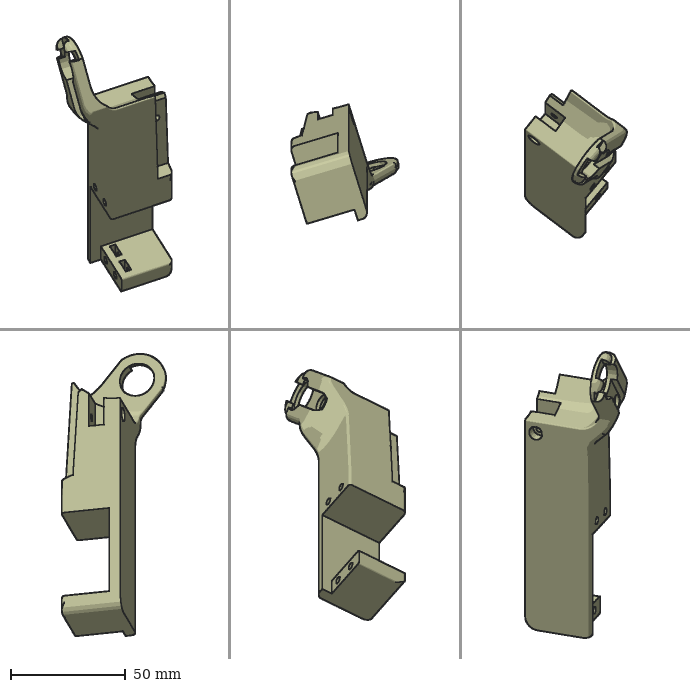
import cadquery as cq
import math

height = 137.4
width = 26.8
depth = 29.8
plate_offset = 10.0
wall = plate_offset / 2
edge_radius = 3.0
right_edge_radius = 1.1
back_rim_radius = 0.7
back_corner_radius = 5.9
back_right_radius = 2.0

ring_radius = 25.1 / 2
ring_x = 1.17
ring_z = height - ring_radius
bore_diameter = 15.4
arm_angle = math.radians(51)
arm_half_width = 12.1

shoulder_x = 23.5
taper_bottom_z = 59.1

saddle_radius = 24.3
saddle_blend = 9.9
bend_outer_radius = 37.4
bend_inner_radius = 19.6
bend_arc = 9.5

window_bottom = 8.4
window_top = 48.2
foot_front = wall
foot_corner = 1.1

screw_diameter = 3.2
screw_columns = (9.9, 19.9)
foot_screw_z = 4.3
body_screw_z = 52.6
screw_depth = 11.0
nut_length = 6.6
nut_thickness = 2.6
nut_y = 9.9

pivot_y = 24.9
pivot_z = 94.7
pivot_head_diameter = 6.0
pivot_head_depth = wall
slot_left = 7.4
slot_right = 14.2
slot_front = 18.7
slot_floor = pivot_z - (pivot_y - slot_front)

step_y = 22.5
step_z = 106.8
relief_top_x = 19.0
relief_bottom_x = 21.3
relief_floor = 66.0
relief_floor_drop = 2.0
relief_chamfer = 1.6

groove_width = 8.5
groove_end_distance = 22.5
pocket_distance = 21.6
pocket_diameter = 7.7
pocket_depth = 1.8
cross_slot_start = -7.4
cross_slot_end = -3.2
tip_recess_end = -5.5
tip_recess_width = 9.2
recess_depth = 3.0

plate_front = -plate_offset
plate_back = plate_front + wall
recess_floor = plate_front + recess_depth
margin = 6.9
tolerance = 0.01


def block(x0, x1, y0, y1, z0, z1):
    return cq.Workplane("XY").box(x1 - x0, y1 - y0, z1 - z0, centered=False).translate((x0, y0, z0))


def bar_y(outline, y0, y1):
    """Extrude an X-Z sketch from y0 to y1."""
    return outline.extrude(y0 - y1).translate((0, y0, 0))


def cylinder_y(x, z, diameter, y0, y1):
    return bar_y(cq.Workplane("XZ").center(x, z).circle(diameter / 2), y0, y1)


def cylinder_x(y, z, diameter, x0, x1):
    return cq.Workplane("YZ").center(y, z).circle(diameter / 2).extrude(x1 - x0).translate((x0, 0, 0))


def turn_about_ring(profile):
    """Revolve an X-Y profile, drawn with radius along X, around the ring axis."""
    return profile.revolve(360, (0, 0, 0), (0, 1, 0)).translate((ring_x, 0, ring_z))


def on_arm(distance, offset=0.0):
    """X-Z point at a distance along the arm and an offset to its upper right."""
    x = ring_x + distance * math.cos(arm_angle) + offset * math.sin(arm_angle)
    z = ring_z - distance * math.sin(arm_angle) + offset * math.cos(arm_angle)
    return x, z


def arm_edge_z(x, side):
    """Height of the arm's straight edge at x; side is +1 upper right, -1 lower left."""
    start_x, start_z = on_arm(0, side * arm_half_width)
    return start_z - (x - start_x) * math.tan(arm_angle)


def envelope():
    arm_start = -math.sqrt(ring_radius**2 - arm_half_width**2)
    outline = (
        cq.Workplane("XZ")
        .moveTo(0, 0)
        .lineTo(0, arm_edge_z(0, -1))
        .lineTo(*on_arm(arm_start, -arm_half_width))
        .threePointArc(on_arm(-ring_radius), on_arm(arm_start, arm_half_width))
        .lineTo(shoulder_x, arm_edge_z(shoulder_x, 1))
        .lineTo(width, taper_bottom_z)
        .lineTo(width, 0)
        .close()
    )
    return bar_y(outline, plate_front, depth)


def saddle():
    """Space behind the ring plate and above the body."""
    profile = (
        cq.Workplane("XY")
        .moveTo(0, plate_back)
        .lineTo(saddle_radius - saddle_blend, plate_back)
        .radiusArc((saddle_radius, plate_back + saddle_blend), -saddle_blend)
        .lineTo(saddle_radius, depth + margin)
        .lineTo(0, depth + margin)
        .close()
    )
    return turn_about_ring(profile)


def front_bend():
    """Space in front of the body, with two arcs and a 45 degree flank up to the plate."""
    rise = bend_arc * math.sin(math.pi / 4)
    run = bend_arc - rise
    profile = (
        cq.Workplane("XY")
        .moveTo(bend_inner_radius, plate_front - margin)
        .lineTo(bend_inner_radius, plate_front)
        .radiusArc((bend_inner_radius + rise, plate_front + run), -bend_arc)
        .lineTo(bend_outer_radius - rise, -run)
        .radiusArc((bend_outer_radius, 0), bend_arc)
        .lineTo(2 * height, 0)
        .lineTo(2 * height, plate_front - margin)
        .close()
    )
    return turn_about_ring(profile)


def edges_where(shape, test):
    """Edges whose bounding box passes the test."""
    return shape.newObject([edge for edge in shape.edges().vals() if test(edge.BoundingBox())])


def is_left_front_edge(box):
    return box.xmax < tolerance and box.xmin > -tolerance and box.ymax < tolerance


def is_plate_rim(box):
    """Outline of the plate front, without the arc where the bend begins."""
    in_plane = box.ymax < plate_front + tolerance
    starts_bend = box.xmin > -tolerance and box.xmax > ring_radius and box.zmin < ring_z - bore_diameter
    return in_plane and not starts_bend


def is_right_front_edge(box):
    return box.xmin > shoulder_x and box.ymax < tolerance and box.ymin > plate_front + tolerance


def is_bottom_back_edge(box):
    return box.zmax < tolerance and box.ymin > depth - tolerance


def is_back_rim(box):
    """Plate outline at the back and left edge of the saddle; the fillet runs on to the right edge."""
    on_plate = box.ymin > plate_back - tolerance and box.ymax < plate_back + tolerance
    starts_blend = box.xmin < 0 and box.xmax > ring_radius
    on_left_face = box.xmax < tolerance and box.ymin > plate_back and box.ymax > plate_back + saddle_blend - tolerance
    return (on_plate and not starts_blend) or (on_left_face and box.zmin > pivot_z and box.zmax < ring_z)


def shell():
    """Body, bend and ring plate with their rounded edges."""
    shape = envelope().cut(saddle()).cut(front_bend())
    shape = edges_where(shape, lambda box: is_left_front_edge(box) or is_plate_rim(box)).fillet(edge_radius)
    shape = edges_where(shape, is_right_front_edge).fillet(right_edge_radius)
    shape = edges_where(shape, is_back_rim).fillet(back_rim_radius)
    return edges_where(shape, is_bottom_back_edge).fillet(back_corner_radius)


def window():
    """Opening right of the left wall, with the foot set back below it."""
    opening = block(wall, width + margin, -margin, depth + margin, window_bottom, window_top)
    setback = block(wall, width + margin, -margin, foot_front, -margin, window_bottom)
    return opening.union(setback)


def foot_corner_cut():
    """What the rounded right end of the foot leaves off."""
    full = block(width - foot_corner, width + margin, -margin, depth + margin, -margin, window_bottom)
    end = block(wall, width, 0, depth, 0, window_bottom).edges("|Y and >X").fillet(foot_corner)
    return full.cut(end)


def back_right_cut():
    """What the upright rounding at the back right corner leaves off."""
    x = width - back_right_radius
    y = depth - back_right_radius
    corner = block(x, width + margin, y, depth + margin, -margin, height)
    post = cq.Workplane("XY").center(x, y).circle(back_right_radius).extrude(height + 2 * margin)
    return corner.cut(post.translate((0, 0, -margin)))


def screw_holes():
    holes = cq.Workplane("XY")
    for x in screw_columns:
        holes = holes.union(cylinder_y(x, body_screw_z, screw_diameter, -margin, screw_depth))
        holes = holes.union(cylinder_y(x, foot_screw_z, screw_diameter, 0, foot_front + screw_depth))
    return holes


def nut_slots():
    """Slots in the foot top that hold the nuts of its screws."""
    slots = cq.Workplane("XY")
    for x in screw_columns:
        floor = foot_screw_z - nut_length / 2
        slot = block(x - nut_length / 2, x + nut_length / 2, nut_y - nut_thickness / 2,
                     nut_y + nut_thickness / 2, floor, window_bottom)
        slots = slots.union(slot)
    return slots


def pivot():
    """Slot open to the top and back, crossed by a screw hole with a sunk head."""
    slot = block(slot_left, slot_right, slot_front, depth + margin, slot_floor, height)
    hole = cylinder_x(pivot_y, pivot_z, screw_diameter, -margin, width + margin)
    head = cylinder_x(pivot_y, pivot_z, pivot_head_diameter, -margin, pivot_head_depth)
    return slot.union(hole).union(head)


def top_cuts():
    """Lowered back corner and the relief on its right side."""
    step = block(0, width, step_y, depth, step_z, height)
    relief = cq.Workplane("XZ").polyline([
        (relief_top_x - relief_chamfer, step_z),
        (relief_top_x, step_z - relief_chamfer),
        (relief_bottom_x, relief_floor),
        (width, relief_floor - relief_floor_drop),
        (width, step_z),
    ]).close()
    return step.union(bar_y(relief, step_y, depth + margin))


def arm_slot(start, end, half_width):
    """Straight recess in the plate front, between two distances along the arm."""
    corners = [
        on_arm(start, -half_width),
        on_arm(start, half_width),
        on_arm(end, half_width),
        on_arm(end, -half_width),
    ]
    return bar_y(cq.Workplane("XZ").polyline(corners).close(), plate_front - margin, recess_floor)


def ring_cuts():
    """Ring bore and the recesses in the plate front around it."""
    bore = cylinder_y(ring_x, ring_z, bore_diameter, plate_front - margin, plate_back + margin)
    pocket_x, pocket_z = on_arm(pocket_distance)
    end_x, end_z = on_arm(groove_end_distance)
    groove = arm_slot(0, groove_end_distance, groove_width / 2)
    groove_end = cylinder_y(end_x, end_z, groove_width, plate_front - margin, recess_floor)
    pocket = cylinder_y(pocket_x, pocket_z, pocket_diameter, plate_front - margin, recess_floor + pocket_depth)
    cross_slot = arm_slot(cross_slot_start, cross_slot_end, ring_radius)
    tip_recess = arm_slot(-ring_radius - margin, tip_recess_end, tip_recess_width / 2)
    return bore.union(groove).union(groove_end).union(pocket).union(cross_slot).union(tip_recess)


cutters = (
    window(),
    foot_corner_cut(),
    back_right_cut(),
    screw_holes(),
    nut_slots(),
    pivot(),
    top_cuts(),
    ring_cuts(),
)

result = shell()
for cutter in cutters:
    result = result.cut(cutter)